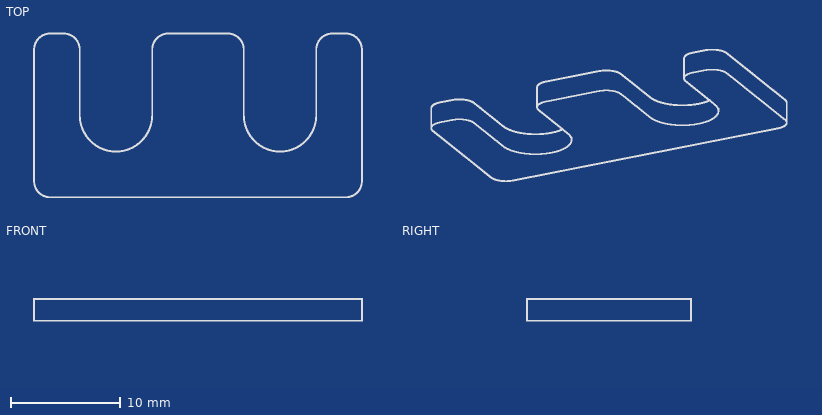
import cadquery as cq

length = 30.0
width = 15.0
thickness = 2.0
corner_radius = 1.5

slot_width = 6.6
slot_spacing = length / 2
slot_radius = slot_width / 2
slot_end_y = 0.0


def make_plate():
    """Flat rectangular plate, centred in X and Y and resting on Z = 0."""
    return cq.Workplane("XY").rect(length, width).extrude(thickness)


def make_slot(center_x):
    """U-shaped cutter with a round inner end, open at the +Y edge."""
    left = center_x - slot_radius
    right = center_x + slot_radius
    open_y = width / 2
    return (
        cq.Workplane("XY")
        .moveTo(left, open_y)
        .lineTo(left, slot_end_y)
        .threePointArc((center_x, slot_end_y - slot_radius), (right, slot_end_y))
        .lineTo(right, open_y)
        .close()
        .extrude(thickness)
    )


def round_corners(body):
    """Round the upright edges at the plate corners and slot mouths."""
    return body.edges("|Z").edges(">Y or <Y").fillet(corner_radius)


plate = make_plate()
for slot_x in (-slot_spacing / 2, slot_spacing / 2):
    plate = plate.cut(make_slot(slot_x))

result = round_corners(plate)